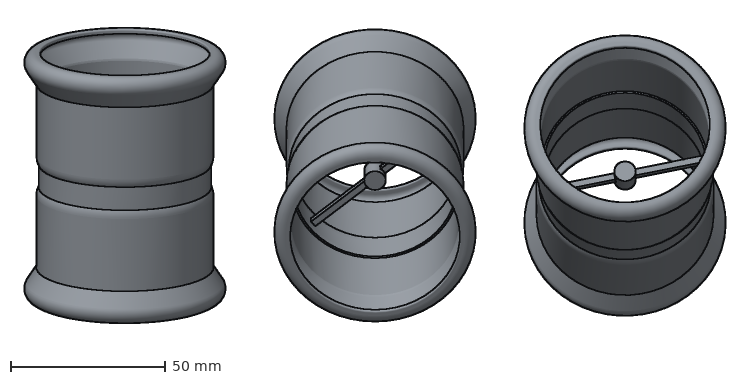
import cadquery as cq
import math

LENGTH = 83.0
OUTER_DIAMETER = 65.4
HALF_LENGTH = LENGTH / 2

BODY_OUTER_RADIUS = 57.5 / 2
BODY_BORE_RADIUS = 54.4 / 2
WAIST_OUTER_RADIUS = 56.0 / 2
WAIST_BORE_RADIUS = 53.0 / 2
WALL = BODY_OUTER_RADIUS - BODY_BORE_RADIUS

WAIST_HALF_HEIGHT = 3.9
SHOULDER_HALF_HEIGHT = 6.6
STOP_HALF_HEIGHT = 6.3
FLARE_START = 31.0

BEAD_RADIUS = 3.5
BEAD_INNER_RADIUS = BEAD_RADIUS - WALL
BEAD_CENTER_R = OUTER_DIAMETER / 2 - BEAD_RADIUS
BEAD_CENTER_Z = HALF_LENGTH - BEAD_RADIUS
MOUTH_RADIUS = 55.0 / 2
LIP_FILLET = 0.5
FLARE_ROOT_FILLET = 1.3

SELECT_MARGIN = 0.1

HUB_DIAMETER = 7.0
HUB_HEIGHT = 7.0
BAR_WIDTH = 2.2

FLARE_DR = BODY_OUTER_RADIUS - BEAD_CENTER_R
FLARE_DZ = FLARE_START - BEAD_CENTER_Z
FLARE_NORMAL = math.atan2(FLARE_DZ, FLARE_DR) + math.acos(BEAD_RADIUS / math.hypot(FLARE_DR, FLARE_DZ))


def centered_cylinder(radius, height):
    """Cylinder on the sleeve axis, centred on the middle plane."""
    return cq.Workplane("XY").cylinder(height, radius)


def bead_point(radius, angle):
    """Point (r, z) at an angle on a circle about the bead centre."""
    return (BEAD_CENTER_R + radius * math.cos(angle), BEAD_CENTER_Z + radius * math.sin(angle))


def circles_between(radius, low, high):
    """Selector for the horizontal circles within a radius and between two heights."""
    reach = radius + SELECT_MARGIN
    return cq.selectors.BoxSelector(
        (-reach, -reach, low - SELECT_MARGIN),
        (reach, reach, high + SELECT_MARGIN),
        boundingbox=True,
    )


def shoulder_arc_middle():
    """Middle point (r, z) of the outer shoulder arc, which leaves the waist and runs tangent into the body."""
    step = BODY_OUTER_RADIUS - WAIST_OUTER_RADIUS
    rise = SHOULDER_HALF_HEIGHT - WAIST_HALF_HEIGHT
    arc_radius = (step**2 + rise**2) / (2 * step)
    half_angle = math.asin(rise / arc_radius) / 2
    arc_center_r = BODY_OUTER_RADIUS - arc_radius
    return (
        arc_center_r + arc_radius * math.cos(half_angle),
        SHOULDER_HALF_HEIGHT - arc_radius * math.sin(half_angle),
    )


def make_socket():
    """Upper end of the sleeve, above the waist: shoulder, straight socket, flare and hollow bead."""
    bead_arc_middle = (FLARE_NORMAL + math.pi / 2) / 2
    inner_tangent_r, inner_tangent_z = bead_point(BEAD_INNER_RADIUS, FLARE_NORMAL)
    inner_flare_start = inner_tangent_z + (inner_tangent_r - BODY_BORE_RADIUS) / math.tan(FLARE_NORMAL)
    outline = (
        cq.Workplane("XZ")
        .moveTo(WAIST_OUTER_RADIUS, WAIST_HALF_HEIGHT)
        .threePointArc(
            shoulder_arc_middle(),
            (BODY_OUTER_RADIUS, SHOULDER_HALF_HEIGHT),
        )
        .lineTo(BODY_OUTER_RADIUS, FLARE_START)
        .lineTo(*bead_point(BEAD_RADIUS, FLARE_NORMAL))
        .threePointArc(bead_point(BEAD_RADIUS, bead_arc_middle), (BEAD_CENTER_R, HALF_LENGTH))
        .lineTo(MOUTH_RADIUS, HALF_LENGTH)
        .lineTo(MOUTH_RADIUS, HALF_LENGTH - WALL)
        .lineTo(BEAD_CENTER_R, HALF_LENGTH - WALL)
        .threePointArc(
            bead_point(BEAD_INNER_RADIUS, bead_arc_middle),
            (inner_tangent_r, inner_tangent_z),
        )
        .lineTo(BODY_BORE_RADIUS, inner_flare_start)
        .lineTo(BODY_BORE_RADIUS, STOP_HALF_HEIGHT)
        .lineTo(WAIST_BORE_RADIUS, STOP_HALF_HEIGHT)
        .lineTo(WAIST_BORE_RADIUS, WAIST_HALF_HEIGHT)
        .close()
    )
    socket = outline.revolve(360, (0, 0, 0), (0, 1, 0))
    socket = socket.edges(circles_between(MOUTH_RADIUS, HALF_LENGTH - WALL, HALF_LENGTH)).fillet(LIP_FILLET)
    return socket.edges(circles_between(BODY_BORE_RADIUS, inner_flare_start, inner_flare_start)).fillet(
        FLARE_ROOT_FILLET
    )


def make_sleeve():
    """Full sleeve, symmetric about its middle plane."""
    waist = centered_cylinder(WAIST_OUTER_RADIUS, 2 * WAIST_HALF_HEIGHT).cut(
        centered_cylinder(WAIST_BORE_RADIUS, 2 * WAIST_HALF_HEIGHT)
    )
    upper_socket = make_socket()
    return waist.union(upper_socket).union(upper_socket.mirror("XY"))


def make_crossbar():
    """Square bar across the waist, its ends rounded to fit the waist bore."""
    bar = cq.Workplane("XY").box(2 * WAIST_OUTER_RADIUS, BAR_WIDTH, BAR_WIDTH)
    return bar.intersect(centered_cylinder(WAIST_BORE_RADIUS, 2 * BAR_WIDTH))


def make_hub(crossbar):
    """Upright cylinder on the sleeve axis, pierced by the crossbar."""
    hub = centered_cylinder(HUB_DIAMETER / 2, HUB_HEIGHT)
    return hub.cut(crossbar)


sleeve = make_sleeve()
crossbar = make_crossbar()
hub = make_hub(crossbar)
result = cq.Compound.makeCompound([sleeve.val(), crossbar.val(), hub.val()])